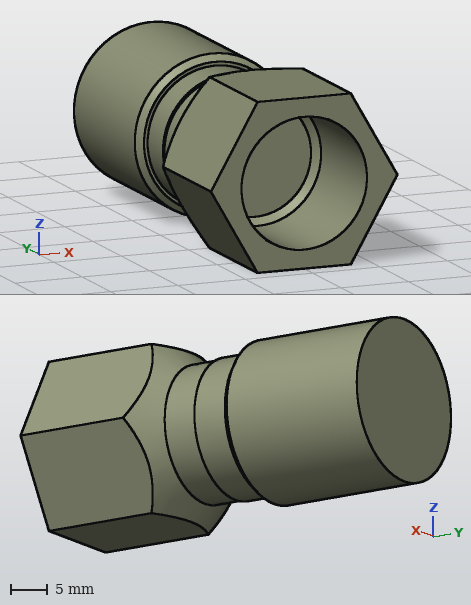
import cadquery as cq
import math

total_length = 54.0
across_flats = 24.0
across_corners = across_flats / math.cos(math.radians(30))

neck_diameter = 19.5
collar_diameter = 20.0
sleeve_diameter = 23.0

nut_end = 21.05
neck_end = 26.15
sleeve_start = 31.55
sleeve_chamfer = 0.95

bore_diameter = 18.65
seat_diameter = 16.5
bore_depth = 16.2
seat_depth = (bore_diameter - seat_diameter) / 2


def revolve_about_y(points):
    """Revolve a closed (radius, y) outline about the Y axis."""
    return cq.Workplane("XY").polyline(points).close().revolve(360, (0, 0, 0), (0, 1, 0))


def cylinder(diameter, start, end):
    radius = diameter / 2
    return revolve_about_y([(0, start), (radius, start), (radius, end), (0, end)])


def hex_nut():
    """Hexagon with corners on the X axis, trimmed by a 45 degree cone at its rear."""
    prism = cq.Workplane("XZ").polygon(6, across_corners).extrude(-nut_end)
    neck_radius = neck_diameter / 2
    corner_radius = across_corners / 2
    cone_start = nut_end - (corner_radius - neck_radius)
    envelope = revolve_about_y([
        (0, 0),
        (corner_radius, 0),
        (corner_radius, cone_start),
        (neck_radius, nut_end),
        (0, nut_end),
    ])
    return prism.intersect(envelope)


def sleeve():
    """Crimp sleeve with a chamfered edge facing the nut."""
    body = cylinder(sleeve_diameter, sleeve_start, total_length)
    return body.faces("<Y").chamfer(sleeve_chamfer)


def bore():
    bore_radius = bore_diameter / 2
    return revolve_about_y([
        (0, 0),
        (bore_radius, 0),
        (bore_radius, bore_depth),
        (seat_diameter / 2, bore_depth + seat_depth),
        (0, bore_depth + seat_depth),
    ])


neck = cylinder(neck_diameter, nut_end, neck_end)
collar = cylinder(collar_diameter, neck_end, sleeve_start)

result = hex_nut().union(neck).union(collar).union(sleeve()).cut(bore())